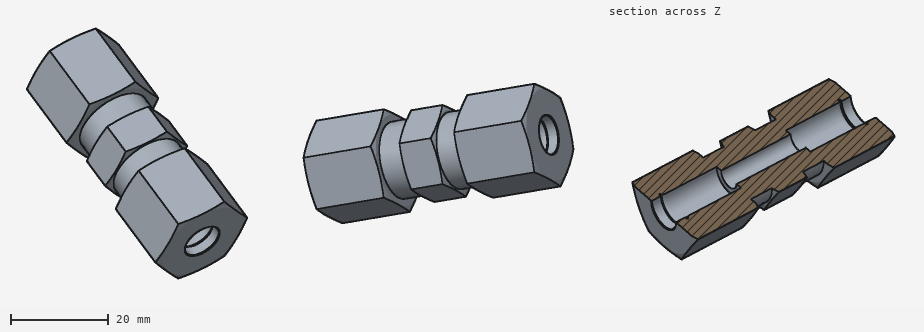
import cadquery as cq
import math

total_length = 51.8
nut_across_flats = 19.0
nut_length = 16.5
grip_across_flats = 17.0
grip_length = 8.05
body_diameter = 16.05

passage_diameter = 5.0
tube_stop_spacing = 18.05
socket_diameter = 8.05
mouth_chamfer = 0.18

gap_diameter = 9.3
gap_depth = 2.5
gap_width = 0.3
cone_end_depth = 3.5
cone_half_angle = 12.0

hex_chamfer_angle = 15.0


def cylinder(diameter, start_x, length):
    return cq.Workplane("YZ", origin=(start_x, 0, 0)).circle(diameter / 2).extrude(length)


def chamfered_hexagon(across_flats, start_x, length):
    """Hexagonal prism along X, flat on top, with the corners of both end faces turned to a cone."""
    flat_radius = across_flats / 2
    corner_radius = flat_radius / math.cos(math.radians(30))
    corner_drop = (corner_radius - flat_radius) * math.tan(math.radians(hex_chamfer_angle))
    end_x = start_x + length
    prism = (
        cq.Workplane("YZ", origin=(start_x, 0, 0))
        .polygon(6, 2 * corner_radius)
        .extrude(length)
    )
    turned_envelope = (
        cq.Workplane("XY")
        .moveTo(start_x, 0)
        .lineTo(start_x, flat_radius)
        .lineTo(start_x + corner_drop, corner_radius)
        .lineTo(end_x - corner_drop, corner_radius)
        .lineTo(end_x, flat_radius)
        .lineTo(end_x, 0)
        .close()
        .revolve(360, (0, 0, 0), (1, 0, 0))
    )
    return prism.intersect(turned_envelope)


def tube_socket():
    """Solid that cuts the socket of the -X end, from the chamfered mouth to the tube stop."""
    mouth_x = -total_length / 2
    stop_x = -tube_stop_spacing / 2
    gap_start_x = mouth_x + gap_depth
    cone_start_x = gap_start_x + gap_width
    cone_end_x = mouth_x + cone_end_depth
    socket_radius = socket_diameter / 2
    cone_rise = (cone_end_x - cone_start_x) * math.tan(math.radians(cone_half_angle))
    return (
        cq.Workplane("XY")
        .moveTo(mouth_x, 0)
        .lineTo(mouth_x, socket_radius + mouth_chamfer)
        .lineTo(mouth_x + mouth_chamfer, socket_radius)
        .lineTo(gap_start_x, socket_radius)
        .lineTo(gap_start_x, gap_diameter / 2)
        .lineTo(cone_start_x, gap_diameter / 2)
        .lineTo(cone_start_x, socket_radius + cone_rise)
        .lineTo(cone_end_x, socket_radius)
        .lineTo(stop_x, socket_radius)
        .lineTo(stop_x, 0)
        .close()
        .revolve(360, (0, 0, 0), (1, 0, 0))
    )


end_x = total_length / 2

coupling = cylinder(body_diameter, -end_x, total_length)
coupling = coupling.union(chamfered_hexagon(grip_across_flats, -grip_length / 2, grip_length))
for nut_start_x in (-end_x, end_x - nut_length):
    coupling = coupling.union(chamfered_hexagon(nut_across_flats, nut_start_x, nut_length))

coupling = coupling.cut(cylinder(passage_diameter, -end_x, total_length))
left_socket = tube_socket()
coupling = coupling.cut(left_socket).cut(left_socket.mirror("YZ"))

result = coupling